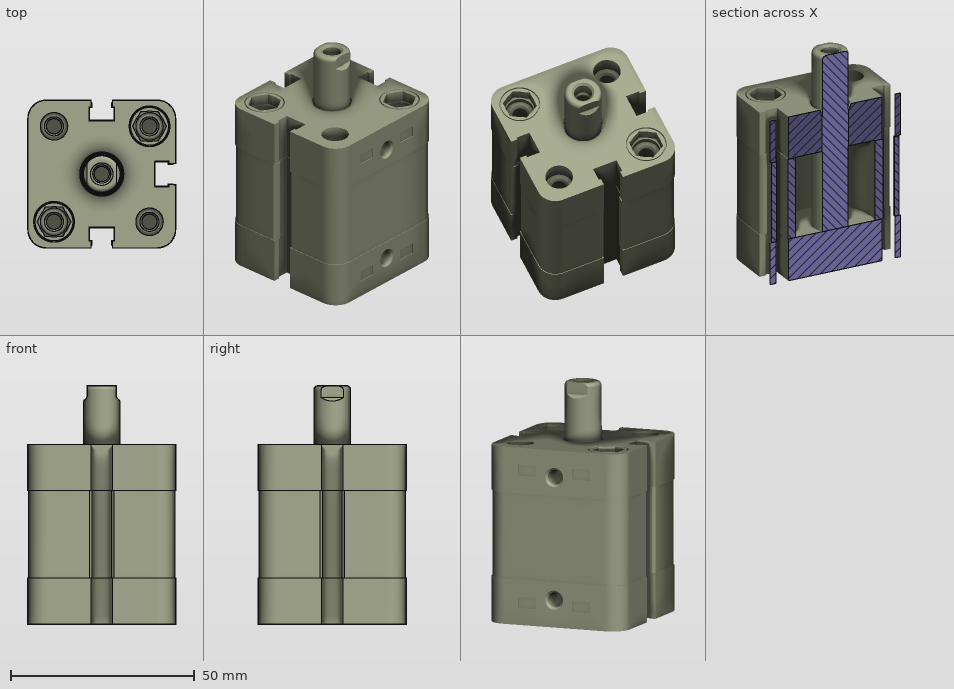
import cadquery as cq
import math


total_height = 65.0
rod_projection = 16.0
body_height = total_height - rod_projection
cap_width = 40.3
cap_height = 12.6
barrel_width = 40.0
barrel_height = body_height - 2 * cap_height
corner_radius = 5.0
bore_diameter = 25.0

half_height = body_height / 2
front_face_z = half_height
rear_face_z = -half_height
barrel_bottom_z = rear_face_z + cap_height
barrel_top_z = front_face_z - cap_height

slot_angles = (-90, 0, 90)
slot_floor = 14.43
barrel_side_slot_floor = 14.65
cap_slot_neck = 5.74
cap_slot_width = 7.0
cap_slot_lip = 1.9
barrel_slot_neck = 5.3
barrel_slot_width = 6.6
barrel_slot_lip = 1.95
barrel_slot_mouth_chamfer = 0.65

port_inset = 7.55
thread_diameter = 4.13
port_mouth_diameter = 5.3
port_depth = 7.0
plate_inset = 6.2
plate_offset = 8.0
plate_length = 5.1
plate_height = 3.0
plate_depth = 0.2

hole_offset = 13.0
plain_hole_corners = ((-1, 1), (1, -1))
socket_corners = ((1, 1), (-1, -1))
counterbore_diameter = 7.5
counterbore_depth = 4.5
corner_mouth_diameter = 5.2
corner_hole_depth = 10.0
socket_across_flats = 8.1
socket_relief_diameter = 8.3
socket_depth = 3.0
head_groove_mouth = 11.1
head_groove_outer = 10.9
head_groove_inner = 10.3
head_groove_depth = 0.5

wiper_mouth_diameter = 12.0
wiper_lip_diameter = 11.4
wiper_lip_depth = 0.1
wiper_recess_diameter = 10.9
wiper_recess_depth = 0.8
rod_clearance_diameter = 10.48
rod_clearance_depth = 1.6

rod_diameter = 10.0
rod_tip_fillet = 1.1
rod_flats_width = 8.0
rod_flats_length = 3.2
rod_mouth_diameter = 6.15
rod_step_diameter = 4.92
rod_step_depth = 4.0
rod_hole_depth = 12.0


def disc(diameter, z_top, depth, x=0.0, y=0.0):
    """Cylinder hanging down from z_top."""
    return cq.Workplane("XY", origin=(x, y, z_top - depth)).circle(diameter / 2).extrude(depth)


def block(width, height, z_bottom):
    """Square block with rounded vertical edges."""
    return (
        cq.Workplane("XY", origin=(0, 0, z_bottom))
        .rect(width, width)
        .extrude(height)
        .edges("|Z")
        .fillet(corner_radius)
    )


def turned(profile):
    """Solid of revolution about Z from (radius, z) points."""
    return cq.Workplane("XZ").polyline(profile).close().revolve(360, (0, 0), (0, 1))


def countersunk_hole(mouth_diameter, depth):
    """Tapped hole along -Z from the origin, with a 45 degree mouth."""
    hole_radius = thread_diameter / 2
    mouth_radius = mouth_diameter / 2
    return turned([
        (0, 0),
        (mouth_radius, 0),
        (hole_radius, hole_radius - mouth_radius),
        (hole_radius, -depth),
        (0, -depth),
    ])


def t_slot(angle, face, floor, neck, width, lip, z_bottom, height, mouth_chamfer=0.0):
    """T-slot cutter opening through the side at distance `face` from the axis."""
    half_neck = neck / 2
    lip_inner = face - lip
    cutter = (
        cq.Workplane("XY", origin=(0, 0, z_bottom))
        .center((floor + lip_inner) / 2, 0)
        .rect(lip_inner - floor, width)
        .extrude(height)
    )
    throat = (
        cq.Workplane("XY", origin=(0, 0, z_bottom))
        .center((floor + face) / 2, 0)
        .rect(face - floor, neck)
        .extrude(height)
    )
    cutter = cutter.union(throat)
    if mouth_chamfer > 0:
        mouth = (
            cq.Workplane("XY", origin=(0, 0, z_bottom))
            .polyline([
                (face - mouth_chamfer, -half_neck),
                (face, -half_neck - mouth_chamfer),
                (face, half_neck + mouth_chamfer),
                (face - mouth_chamfer, half_neck),
            ])
            .close()
            .extrude(height)
        )
        cutter = cutter.union(mouth)
    return cutter.rotate((0, 0, 0), (0, 0, 1), angle)


def make_cap(z_bottom, outer_face_z, inward):
    """End cap with T-slots, air port and marking plates; `inward` is the Z sense towards the barrel."""
    cap = block(cap_width, cap_height, z_bottom)
    face = cap_width / 2
    for angle in slot_angles:
        cap = cap.cut(t_slot(angle, face, slot_floor, cap_slot_neck, cap_slot_width,
                             cap_slot_lip, z_bottom, cap_height))
    port = (
        countersunk_hole(port_mouth_diameter, port_depth)
        .rotate((0, 0, 0), (0, 1, 0), -90)
        .translate((-face, 0, outer_face_z + inward * port_inset))
    )
    cap = cap.cut(port)
    for side in (-1, 1):
        plate = cq.Workplane("XY").box(2 * plate_depth, plate_length, plate_height)
        cap = cap.cut(plate.translate((-face, side * plate_offset, outer_face_z + inward * plate_inset)))
    return cap


def add_corner_hole(cap, x, y):
    """Counterbored, tapped corner hole."""
    counterbore = disc(counterbore_diameter, front_face_z, counterbore_depth, x, y)
    tapped = countersunk_hole(corner_mouth_diameter, corner_hole_depth - counterbore_depth)
    return cap.cut(counterbore).cut(tapped.translate((x, y, front_face_z - counterbore_depth)))


def add_socket(cap, x, y):
    """Hexagon socket with round relief, ringed by the groove around the screw head."""
    hexagon = (
        cq.Workplane("XY", origin=(x, y, front_face_z - socket_depth))
        .polygon(6, socket_across_flats / math.cos(math.pi / 6))
        .extrude(socket_depth)
    )
    relief = disc(socket_relief_diameter, front_face_z, socket_depth, x, y)
    groove_floor_z = front_face_z - head_groove_depth
    groove = turned([
        (head_groove_inner / 2, front_face_z),
        (head_groove_mouth / 2, front_face_z),
        (head_groove_outer / 2, groove_floor_z),
        (head_groove_inner / 2, groove_floor_z),
    ])
    return cap.cut(hexagon).cut(relief).cut(groove.translate((x, y, 0)))


def make_front_cap():
    """Cap on the rod side, with screw holes, sockets and the rod guide."""
    cap = make_cap(barrel_top_z, front_face_z, -1)
    for x_side, y_side in plain_hole_corners + socket_corners:
        cap = add_corner_hole(cap, x_side * hole_offset, y_side * hole_offset)
    for x_side, y_side in socket_corners:
        cap = add_socket(cap, x_side * hole_offset, y_side * hole_offset)

    lip_z = front_face_z - wiper_lip_depth
    recess_floor_z = front_face_z - wiper_recess_depth
    wiper_mouth = turned([
        (0, front_face_z),
        (wiper_mouth_diameter / 2, front_face_z),
        (wiper_lip_diameter / 2, lip_z),
        (wiper_recess_diameter / 2, lip_z),
        (wiper_recess_diameter / 2, recess_floor_z),
        (0, recess_floor_z),
    ])
    clearance = disc(rod_clearance_diameter, front_face_z, rod_clearance_depth)
    guide = disc(rod_diameter, front_face_z, cap_height)
    return cap.cut(wiper_mouth).cut(clearance).cut(guide)


def make_rear_cap():
    """Cap opposite the rod, with a plain outer end."""
    return make_cap(rear_face_z, rear_face_z, 1)


def make_barrel():
    """Slotted tube between the caps."""
    barrel = block(barrel_width, barrel_height, barrel_bottom_z)
    for angle in slot_angles:
        floor = slot_floor if angle == 0 else barrel_side_slot_floor
        barrel = barrel.cut(t_slot(angle, barrel_width / 2, floor, barrel_slot_neck, barrel_slot_width,
                                   barrel_slot_lip, barrel_bottom_z, barrel_height,
                                   barrel_slot_mouth_chamfer))
    return barrel.cut(disc(bore_diameter, barrel_top_z, barrel_height))


def make_rod():
    """Rod standing on the rear cap, with wrench flats and a tapped hole at its tip."""
    tip_z = front_face_z + rod_projection
    rod = disc(rod_diameter, tip_z, tip_z - barrel_bottom_z).faces(">Z").edges().fillet(rod_tip_fillet)

    flat_x = rod_flats_width / 2
    rod_radius = rod_diameter / 2
    flats_end_z = tip_z - rod_flats_length
    for side in (-1, 1):
        flat = (
            cq.Workplane("XZ")
            .polyline([
                (side * flat_x, tip_z),
                (side * flat_x, flats_end_z),
                (side * rod_radius, flats_end_z - (rod_radius - flat_x)),
                (side * rod_radius, tip_z),
            ])
            .close()
            .extrude(rod_radius, both=True)
        )
        rod = rod.cut(flat)

    mouth_radius = rod_mouth_diameter / 2
    step_radius = rod_step_diameter / 2
    thread_radius = thread_diameter / 2
    hole = turned([
        (0, tip_z),
        (mouth_radius, tip_z),
        (step_radius, tip_z - (mouth_radius - step_radius)),
        (step_radius, tip_z - rod_step_depth),
        (thread_radius, tip_z - rod_step_depth - (step_radius - thread_radius)),
        (thread_radius, tip_z - rod_hole_depth),
        (0, tip_z - rod_hole_depth),
    ])
    return rod.cut(hole)


rear_cap = make_rear_cap()
barrel = make_barrel()
front_cap = make_front_cap()
rod = make_rod()

result = cq.Compound.makeCompound([rear_cap.val(), barrel.val(), front_cap.val(), rod.val()])